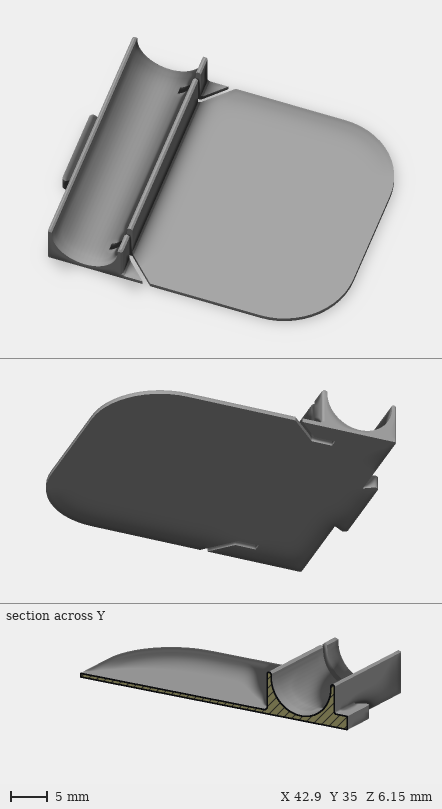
import cadquery as cq
import math

length = 42.9
width = 35.0
height = 6.15
half_width = width / 2

plate_thickness = 0.6
plate_corner_radius = 10.0

cradle_left = 2.05
cradle_right = 12.95
trough_radius = 4.75
trough_floor = 0.75
trough_x = 7.45
trough_z = trough_floor + trough_radius
rim_bevel = 0.25
outer_left_corner_bevel = 0.17
outer_right_corner_radius = 0.35
foot_bevel = 0.25

slit_start_x = 9.95
slit_inner_y = 13.48
slit_width = 1.07
slit_outer_y = slit_inner_y + slit_width

tab_height = 1.97
tab_tip_half_width = 6.3
tab_neck_half_width = 5.1
tab_corner_radius = 0.5
tab_root_radius = 0.25
tab_overlap = 0.2


def make_plate():
    plate_length = length - trough_x
    return (
        cq.Workplane("XY")
        .box(plate_length, width, plate_thickness, centered=(False, True, False))
        .translate((trough_x, 0, 0))
        .edges("|Z and >X")
        .fillet(plate_corner_radius)
    )


def make_cradle():
    block = (
        cq.Workplane("XY")
        .box(cradle_right - cradle_left, width, height, centered=(False, True, False))
        .translate((cradle_left, 0, 0))
    )
    block = block.edges("|Z and <X").chamfer(outer_left_corner_bevel)
    block = block.edges("|Z and >X").fillet(outer_right_corner_radius)

    left = trough_x - trough_radius
    right = trough_x + trough_radius
    trough = (
        cq.Workplane("XZ")
        .moveTo(left, trough_z)
        .threePointArc((trough_x, trough_floor), (right, trough_z))
        .lineTo(right, height)
        .lineTo(left, height)
        .close()
        .extrude(half_width, both=True)
    )
    return block.cut(trough).faces(">Z").edges().chamfer(rim_bevel)


def make_foot():
    """Bevel where the right wall meets the plate, wrapped round its corners."""
    start_x = trough_x + trough_radius
    foot_length = cradle_right + foot_bevel - start_x
    envelope = (
        cq.Workplane("XY")
        .box(foot_length, width, plate_thickness + foot_bevel, centered=(False, True, False))
        .translate((start_x, 0, 0))
    )
    return (
        cq.Workplane("XY", origin=((start_x + cradle_right) / 2, 0, plate_thickness))
        .rect(cradle_right - start_x + 2 * foot_bevel, width + 2 * foot_bevel)
        .extrude(foot_bevel, taper=45)
        .intersect(envelope)
    )


def make_tab():
    root_x = cradle_left + tab_overlap
    tab = (
        cq.Workplane("XY")
        .polyline([
            (0, -tab_tip_half_width),
            (cradle_left, -tab_neck_half_width),
            (root_x, -tab_neck_half_width),
            (root_x, tab_neck_half_width),
            (cradle_left, tab_neck_half_width),
            (0, tab_tip_half_width),
        ])
        .close()
        .extrude(tab_height)
        .edges("|Z and <X")
        .fillet(tab_corner_radius)
    )

    arc_drop = tab_root_radius * math.sqrt(0.5)
    arc_middle = tab_root_radius - arc_drop
    root = (
        cq.Workplane("XZ")
        .moveTo(cradle_left - tab_root_radius, tab_height)
        .threePointArc(
            (cradle_left - arc_middle, tab_height + tab_root_radius - arc_drop),
            (cradle_left, tab_height + tab_root_radius),
        )
        .lineTo(cradle_left, tab_height)
        .close()
        .extrude(tab_neck_half_width, both=True)
    )
    return tab.union(root)


def make_slit(side):
    """Slit near one end; side is +1 or -1 along Y. The diagonal leg runs at 45 degrees."""
    inner_run = half_width - slit_inner_y
    outer_run = half_width - slit_outer_y
    return (
        cq.Workplane("XY")
        .polyline([
            (slit_start_x, side * slit_inner_y),
            (cradle_right, side * slit_inner_y),
            (cradle_right + inner_run, side * half_width),
            (cradle_right + outer_run, side * half_width),
            (cradle_right, side * slit_outer_y),
            (slit_start_x, side * slit_outer_y),
        ])
        .close()
        .extrude(height)
    )


result = make_plate().union(make_cradle()).union(make_foot()).union(make_tab())
for side in (1, -1):
    result = result.cut(make_slit(side))